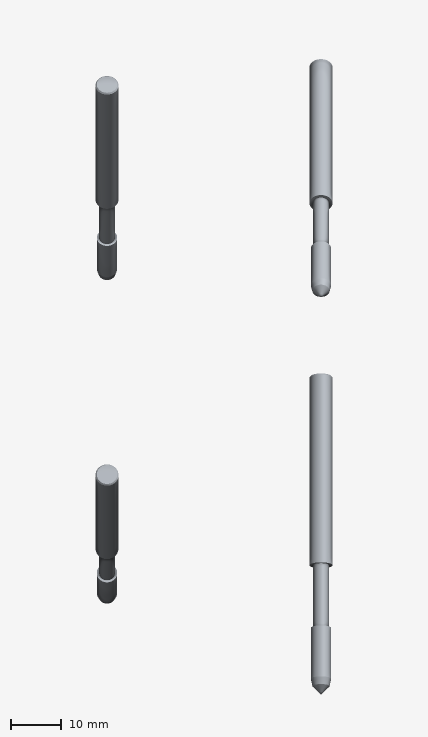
import cadquery as cq

total_length = 64.6

housing_radius = 2.25
housing_bottom = 26.25
top_chamfer = 0.25

rod_radius = 1.55
head_radius = 2.0
head_top = 13.5
taper_top = 3.15
cone_radius = 1.7
cone_height = cone_radius


def make_housing():
    """Plain barrel with a chamfered top rim."""
    return (
        cq.Workplane("XY")
        .workplane(offset=housing_bottom)
        .circle(housing_radius)
        .extrude(total_length - housing_bottom)
        .faces(">Z")
        .edges()
        .chamfer(top_chamfer)
    )


def make_plunger():
    """Slim rod ending against the housing, with a tapered and pointed head."""
    return (
        cq.Workplane("XZ")
        .moveTo(0, 0)
        .lineTo(cone_radius, cone_height)
        .lineTo(head_radius, taper_top)
        .lineTo(head_radius, head_top)
        .lineTo(rod_radius, head_top)
        .lineTo(rod_radius, housing_bottom)
        .lineTo(0, housing_bottom)
        .close()
        .revolve(360, (0, 0, 0), (0, 1, 0))
    )


housing = make_housing()
plunger = make_plunger()

result = cq.Compound.makeCompound([housing.val(), plunger.val()])